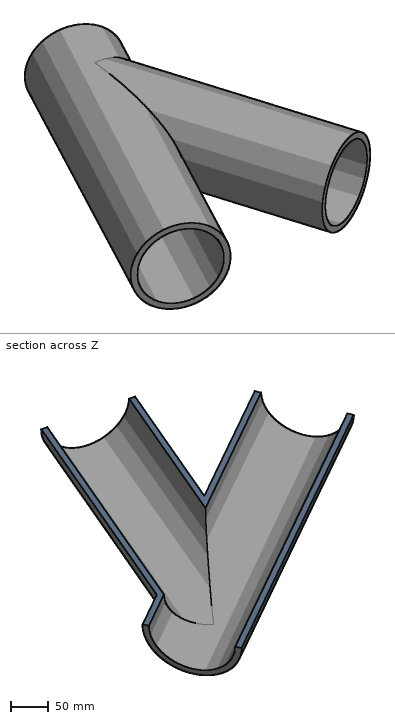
import cadquery as cq
import math

outer_diameter = 141.3
bore_diameter = 122.25
run_length = 469.9
run_start_to_crossing = 88.9
branch_length = 381.0
branch_angle = 45.0

branch_radians = math.radians(branch_angle)
run_start = cq.Vector(-run_start_to_crossing, 0, 0)
run_direction = cq.Vector(1, 0, 0)
crossing = cq.Vector(0, 0, 0)
branch_direction = cq.Vector(math.cos(branch_radians), math.sin(branch_radians), 0)


def cylinder(diameter, length, start, direction):
    """Solid cylinder running from a start point along a direction."""
    return cq.Workplane(cq.Solid.makeCylinder(diameter / 2, length, start, direction))


def lateral(diameter):
    """Run and branch cylinders of equal diameter, joined at the crossing."""
    run = cylinder(diameter, run_length, run_start, run_direction)
    branch = cylinder(diameter, branch_length, crossing, branch_direction)
    return run.union(branch)


result = lateral(outer_diameter).cut(lateral(bore_diameter))